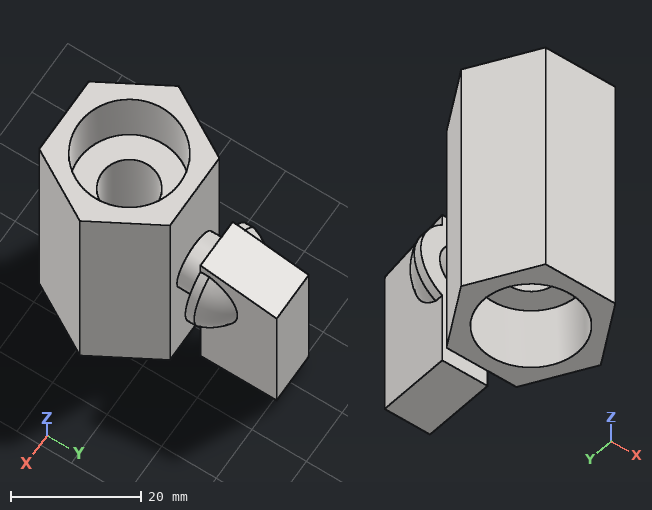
import cadquery as cq
import math

body_height = 46.0
across_flats = 24.0
across_corners = across_flats / math.cos(math.radians(30))
flat_y = across_flats / 2
mid_height = body_height / 2

port_diameter = 18.6
port_depth = 12.0
passage_diameter = 10.0

stem_diameter = 10.0
stem_length = 4.0
knob_y = flat_y + stem_length

knob_radius = 8.75
rim_thickness = 1.6
cap_height = 6.35

lever_width = 9.0
lever_depth = 14.0
lever_bottom = 1.75
lever_inner_top = 32.65
lever_outer_top = 29.7


def make_body():
    body = cq.Workplane("XY").polygon(6, across_corners).extrude(body_height)
    passage = cq.Workplane("XY").circle(passage_diameter / 2).extrude(body_height)
    body = body.cut(passage)
    for port_bottom in (0, body_height - port_depth):
        port = cq.Workplane("XY", origin=(0, 0, port_bottom)).circle(port_diameter / 2).extrude(port_depth)
        body = body.cut(port)
    return body


def make_stem():
    plane = cq.Workplane("XZ", origin=(0, flat_y, mid_height))
    return plane.circle(stem_diameter / 2).extrude(-stem_length)


def make_knob():
    rim_end = knob_y + rim_thickness
    cap_radius = (knob_radius**2 + cap_height**2) / (2 * cap_height)
    cap_center_y = rim_end + cap_height - cap_radius
    half_angle = math.asin(knob_radius / cap_radius) / 2
    arc_middle = (
        cap_radius * math.sin(half_angle),
        cap_center_y + cap_radius * math.cos(half_angle),
    )
    profile = (
        cq.Workplane("XY", origin=(0, 0, mid_height))
        .moveTo(0, knob_y)
        .lineTo(knob_radius, knob_y)
        .lineTo(knob_radius, rim_end)
        .threePointArc(arc_middle, (0, rim_end + cap_height))
        .close()
    )
    return profile.revolve(360, (0, 0, 0), (0, 1, 0))


def make_lever():
    outer_y = knob_y + lever_depth
    side_outline = [
        (knob_y, lever_bottom),
        (outer_y, lever_bottom),
        (outer_y, lever_outer_top),
        (knob_y, lever_inner_top),
    ]
    return cq.Workplane("YZ").polyline(side_outline).close().extrude(lever_width / 2, both=True)


result = make_body().union(make_stem()).union(make_knob()).union(make_lever())